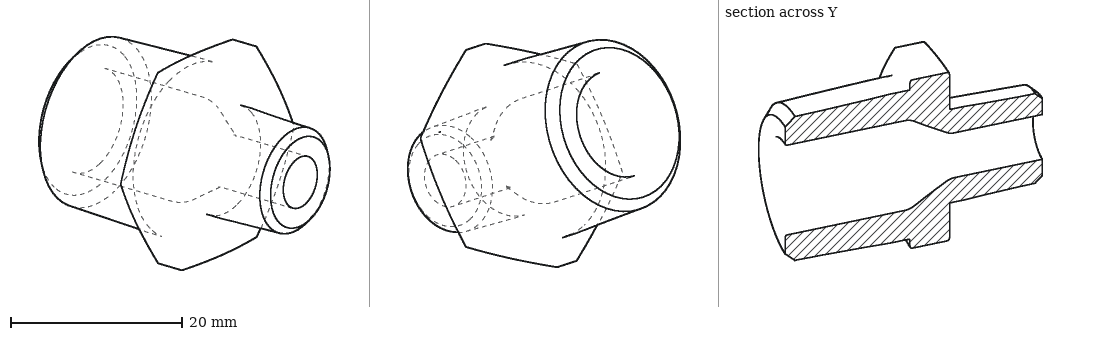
import cadquery as cq
import math

LENGTH = 32.0
TAPER = 1 / 16

LARGE_DIAMETER = 21.28
LARGE_TAPER_END = 13.2
LARGE_CHAMFER = 1.2

SMALL_DIAMETER = 13.38
SMALL_TAPER_START = 22.27
SMALL_CHAMFER = 0.9

HEX_START = 15.5
HEX_WIDTH = 5.02
HEX_ACROSS_FLATS = 24.0
HEX_FACE_DIAMETER = 23.0
HEX_CHAMFER_ANGLE = 15.0
HEX_EDGE_RADIUS = 0.3
RIM_MARGIN = 0.003
ROOT_RADIUS = 0.1

LARGE_BORE_DIAMETER = 12.7
SMALL_BORE_DIAMETER = 6.3
BORE_BLEND_RADIUS = 2.0
MOUTH_RADIUS = 0.3

HEX_END = HEX_START + HEX_WIDTH


def revolve_about_x(profile):
    return profile.close().revolve(360, (0, 0, 0), (1, 0, 0))


def make_hexagon():
    across_corners = HEX_ACROSS_FLATS / math.cos(math.radians(30))
    prism = (
        cq.Workplane("YZ", origin=(HEX_START, 0, 0))
        .polygon(6, across_corners)
        .extrude(HEX_WIDTH)
        .edges("|X")
        .fillet(HEX_EDGE_RADIUS)
    )
    face_radius = HEX_FACE_DIAMETER / 2
    rim_radius = across_corners / 2
    setback = (rim_radius - face_radius) * math.tan(math.radians(HEX_CHAMFER_ANGLE))
    trimmer = revolve_about_x(
        cq.Workplane("XY")
        .moveTo(HEX_START, 0)
        .lineTo(HEX_START, face_radius)
        .lineTo(HEX_START + setback, rim_radius)
        .lineTo(HEX_END - setback, rim_radius)
        .lineTo(HEX_END, face_radius)
        .lineTo(HEX_END, 0)
    )
    trimmed = prism.intersect(trimmer)
    rim_edges = []
    for edge in trimmed.edges().vals():
        box = edge.BoundingBox()
        near_start = HEX_START < box.xmin - RIM_MARGIN and box.xmax < HEX_START + HEX_WIDTH / 2
        near_end = HEX_END - HEX_WIDTH / 2 < box.xmin and box.xmax + RIM_MARGIN < HEX_END
        if near_start or near_end:
            rim_edges.append(edge)
    return trimmed.newObject(rim_edges).fillet(HEX_EDGE_RADIUS)


def make_large_end():
    radius = LARGE_DIAMETER / 2
    tip_radius = radius - (LARGE_TAPER_END - LARGE_CHAMFER) * TAPER / 2
    return revolve_about_x(
        cq.Workplane("XY")
        .moveTo(0, 0)
        .lineTo(0, tip_radius - LARGE_CHAMFER)
        .lineTo(LARGE_CHAMFER, tip_radius)
        .lineTo(LARGE_TAPER_END, radius)
        .lineTo(HEX_START - ROOT_RADIUS, radius)
        .radiusArc((HEX_START, radius + ROOT_RADIUS), -ROOT_RADIUS)
        .lineTo(HEX_START, 0)
    )


def make_small_end():
    radius = SMALL_DIAMETER / 2
    chamfer_start = LENGTH - SMALL_CHAMFER
    tip_radius = radius - (chamfer_start - SMALL_TAPER_START) * TAPER / 2
    return revolve_about_x(
        cq.Workplane("XY")
        .moveTo(HEX_END, 0)
        .lineTo(HEX_END, radius + ROOT_RADIUS)
        .radiusArc((HEX_END + ROOT_RADIUS, radius), -ROOT_RADIUS)
        .lineTo(SMALL_TAPER_START, radius)
        .lineTo(chamfer_start, tip_radius)
        .lineTo(LENGTH, tip_radius - SMALL_CHAMFER)
        .lineTo(LENGTH, 0)
    )


def make_bore():
    large_radius = LARGE_BORE_DIAMETER / 2
    small_radius = SMALL_BORE_DIAMETER / 2
    cone_start = HEX_START
    cone_end = HEX_END
    half_angle = math.atan2(large_radius - small_radius, cone_end - cone_start)
    tangent = BORE_BLEND_RADIUS * math.tan(half_angle / 2)
    tangent_along_axis = tangent * math.cos(half_angle)
    tangent_inward = tangent * math.sin(half_angle)
    return revolve_about_x(
        cq.Workplane("XY")
        .moveTo(0, 0)
        .lineTo(0, large_radius + MOUTH_RADIUS)
        .radiusArc((MOUTH_RADIUS, large_radius), -MOUTH_RADIUS)
        .lineTo(cone_start - tangent, large_radius)
        .radiusArc((cone_start + tangent_along_axis, large_radius - tangent_inward), BORE_BLEND_RADIUS)
        .lineTo(cone_end - tangent_along_axis, small_radius + tangent_inward)
        .radiusArc((cone_end + tangent, small_radius), -BORE_BLEND_RADIUS)
        .lineTo(LENGTH, small_radius)
        .lineTo(LENGTH, 0)
    )


result = make_hexagon().union(make_large_end()).union(make_small_end()).cut(make_bore())